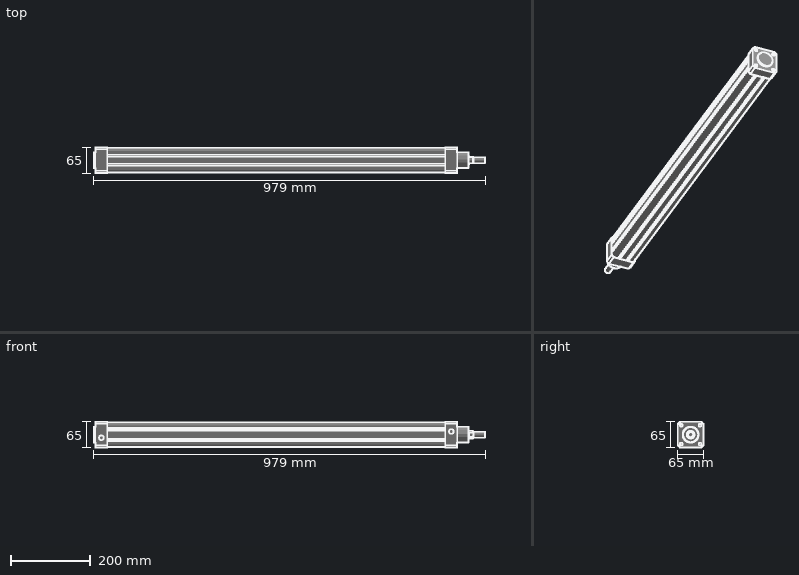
import cadquery as cq


total_length = 979.0
rear_boss_length = 4.0
cap_length = 29.0
front_cap_start = 879.0
front_boss_length = 29.0
rod_shoulder_x = 950.0

rear_cap_start = rear_boss_length
rear_cap_end = rear_cap_start + cap_length
front_cap_end = front_cap_start + cap_length
front_boss_end = front_cap_end + front_boss_length

screw_pitch = 47.0
screw_edge_distance = 9.0
cap_width = screw_pitch + 2 * screw_edge_distance
cap_corner_chamfer = 6.0
screw_hole_diameter = 7.0
screw_hole_depth = 16.0
boss_diameter = 40.0
boss_chamfer = 1.5
port_diameter = 12.0
port_depth = 15.0
port_offset = 8.0

barrel_width = 63.0
barrel_corner_radius = 9.0
side_slot_inner = 10.0
side_slot_outer = 17.0
top_slot_inner = 9.0
top_slot_outer = 14.0
slot_depth = 4.0

rod_diameter = 20.0
across_flats = 17.0
flat_setback = 1.0
shoulder_chamfer = 2.0
thread_diameter = 16.0
thread_chamfer = 1.5


def section_at(x):
    """Workplane across the axis, with local axes along Y and Z."""
    return cq.Workplane("YZ", origin=(x, 0, 0))


def round_bar(start, end, diameter):
    return section_at(start).circle(diameter / 2).extrude(end - start)


def cap_block(start):
    """Square block with its four long corners chamfered."""
    block = section_at(start).rect(cap_width, cap_width).extrude(cap_length)
    return block.edges("|X").chamfer(cap_corner_chamfer)


def screw_holes(outer_face_x, inward):
    """Four blind holes that run from the outer face of a cap; inward is +1 or -1 along X."""
    return (
        section_at(outer_face_x)
        .rect(screw_pitch, screw_pitch, forConstruction=True)
        .vertices()
        .circle(screw_hole_diameter / 2)
        .extrude(inward * screw_hole_depth)
    )


def air_port(cap_start, height):
    """Blind port that runs inward from the -Y face of a cap."""
    mouth_center = (cap_start + cap_length / 2, -cap_width / 2, height)
    return cq.Workplane("XZ", origin=mouth_center).circle(port_diameter / 2).extrude(-port_depth)


def make_rear_cap():
    boss = round_bar(0, rear_cap_start, boss_diameter)
    cap = cap_block(rear_cap_start).union(boss)
    cap = cap.cut(screw_holes(rear_cap_start, 1))
    return cap.cut(air_port(rear_cap_start, -port_offset))


def make_front_cap():
    boss = round_bar(front_cap_end, front_boss_end, boss_diameter)
    boss = boss.faces(">X").chamfer(boss_chamfer)
    cap = cap_block(front_cap_start).union(boss)
    cap = cap.cut(screw_holes(front_cap_end, -1))
    cap = cap.cut(air_port(front_cap_start, port_offset))
    rod_bore = round_bar(front_cap_start, front_boss_end, rod_diameter)
    return cap.cut(rod_bore)


def side_slot(length):
    """V-shaped slot in the +Y face, above the axis."""
    face_y = barrel_width / 2
    bottom = (face_y - slot_depth, (side_slot_inner + side_slot_outer) / 2)
    outline = [(face_y, side_slot_inner), bottom, (face_y, side_slot_outer)]
    return section_at(rear_cap_end).polyline(outline).close().extrude(length)


def top_slot(length):
    """Rectangular slot in the +Z face, on the +Y side of the axis."""
    center_y = (top_slot_inner + top_slot_outer) / 2
    center_z = (barrel_width - slot_depth) / 2
    slot_width = top_slot_outer - top_slot_inner
    return section_at(rear_cap_end).center(center_y, center_z).rect(slot_width, slot_depth).extrude(length)


def make_barrel():
    """Rounded square bar with two slots along each face."""
    length = front_cap_start - rear_cap_end
    profile_bar = section_at(rear_cap_end).rect(barrel_width, barrel_width).extrude(length)
    profile_bar = profile_bar.edges("|X").fillet(barrel_corner_radius)
    for slot in (side_slot(length), top_slot(length)):
        for same_height_slot in (slot, slot.mirror("XZ")):
            profile_bar = profile_bar.cut(same_height_slot).cut(same_height_slot.mirror("XY"))
    return profile_bar


def make_rod():
    """Rod from the barrel to its threaded end, with two wrench flats facing -Y and +Y."""
    shank = round_bar(front_cap_start, rod_shoulder_x, rod_diameter)
    shank = shank.faces(">X").chamfer(shoulder_chamfer)
    flat_start = front_boss_end + flat_setback
    flat_depth = (rod_diameter - across_flats) / 2
    flat_center_y = (across_flats + flat_depth) / 2
    for side in (-1, 1):
        flat = section_at(flat_start).center(side * flat_center_y, 0).rect(flat_depth, rod_diameter)
        shank = shank.cut(flat.extrude(rod_shoulder_x - flat_start))
    thread = round_bar(rod_shoulder_x, total_length, thread_diameter)
    thread = thread.faces(">X").chamfer(thread_chamfer)
    return shank.union(thread)


rear_cap = make_rear_cap()
front_cap = make_front_cap()
barrel = make_barrel()
rod = make_rod()

result = cq.Compound.makeCompound([rear_cap.val(), front_cap.val(), barrel.val(), rod.val()])